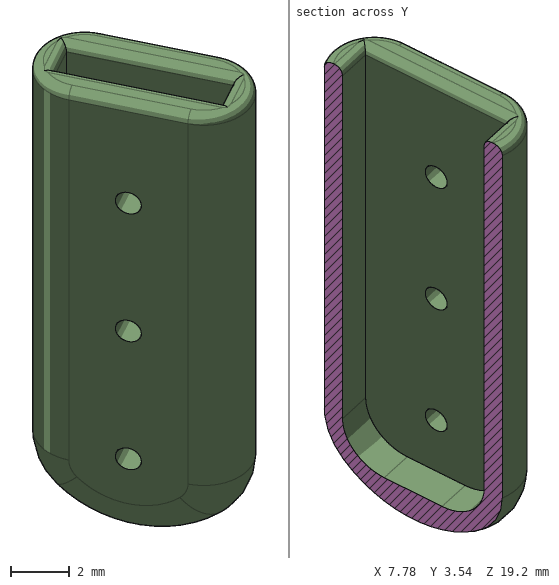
import cadquery as cq
import math

width = 7.78
thickness = 3.54
height = 19.22
edge_radius = thickness / 2
rim_radius = 0.37

corner_radius = 2.67
corner_height = 3.15
corner_x = width / 2 - corner_radius
tip_drop = corner_height - corner_radius
tip_rise = (corner_x**2 - tip_drop**2) / (2 * tip_drop)
tip_center_height = corner_height + tip_rise
tip_radius = tip_center_height
tip_half_angle = math.degrees(math.atan2(corner_x, tip_rise))

pocket_width = 5.95
pocket_depth_y = 1.3
mouth_radius = 0.35
pocket_corner_radius = pocket_width / 2 - corner_x
pocket_floor = corner_height - pocket_corner_radius

hole_diameter = 0.92
hole_count = 3
first_hole_height = 3.73
hole_spacing = 5.57


def rounded_disk(radius, center_x, center_z, half_angle):
    """Sector about the Y direction, pointing down, with a full-round outer edge."""
    flat = radius - edge_radius
    profile = (
        cq.Workplane("XY")
        .moveTo(0, -edge_radius)
        .lineTo(flat, -edge_radius)
        .threePointArc((radius, 0), (flat, edge_radius))
        .lineTo(0, edge_radius)
        .close()
    )
    sector = profile.revolve(2 * half_angle, (0, 0, 0), (0, 1, 0))
    start_angle = 90 - half_angle
    sector = sector.rotate((0, 0, 0), (0, 1, 0), start_angle)
    return sector.translate((center_x, 0, center_z))


def outer_body():
    body = (
        cq.Workplane("XY", origin=(0, 0, corner_height))
        .slot2D(width, thickness)
        .extrude(height - corner_height)
        .faces(">Z")
        .edges()
        .fillet(rim_radius)
    )
    body = body.union(rounded_disk(tip_radius, 0, tip_center_height, tip_half_angle))
    for side in (-1, 1):
        body = body.union(rounded_disk(corner_radius, side * corner_x, corner_height, 90))
    return body


def flared_profile(plane, opening, length):
    """Prism down to the pocket floor whose two sides flare out in arcs at the top."""
    half = opening / 2
    bend = mouth_radius * (1 - math.sqrt(0.5))
    flare_start = height - mouth_radius
    return (
        cq.Workplane(plane)
        .moveTo(-half, pocket_floor)
        .lineTo(half, pocket_floor)
        .lineTo(half, flare_start)
        .threePointArc((half + bend, height - bend), (half + mouth_radius, height))
        .lineTo(-half - mouth_radius, height)
        .threePointArc((-half - bend, height - bend), (-half, flare_start))
        .close()
        .extrude(length / 2, both=True)
    )


def pocket():
    across_width = flared_profile("XZ", pocket_width, thickness)
    across_width = across_width.faces("<Z").edges("|Y").fillet(pocket_corner_radius)
    across_thickness = flared_profile("YZ", pocket_depth_y, width)
    return across_width.intersect(across_thickness)


def cross_holes():
    heights = [first_hole_height + i * hole_spacing for i in range(hole_count)]
    return (
        cq.Workplane("XZ")
        .pushPoints([(0, z) for z in heights])
        .circle(hole_diameter / 2)
        .extrude(thickness, both=True)
    )


result = outer_body().cut(pocket()).cut(cross_holes())